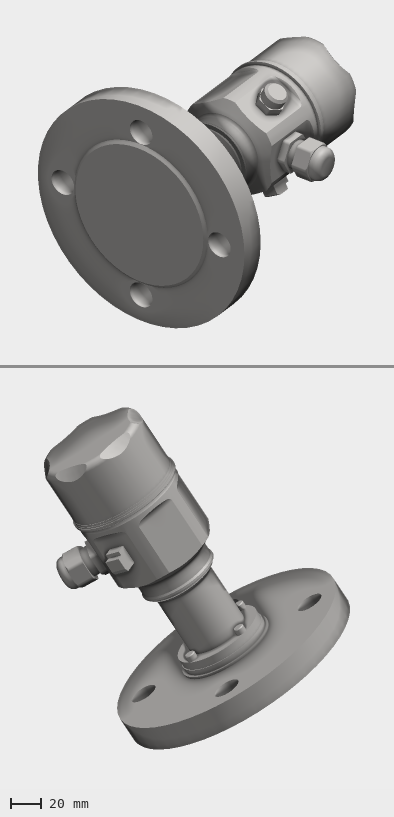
import cadquery as cq
import math

TOTAL_LENGTH = 191.8
AXIS_START = (0, 0, 0)
AXIS_END = (0, 1, 0)

FLANGE_RADIUS = 82.5
FLANGE_BACK = 19.8
FACE_HEIGHT = 2.0
FACE_RADIUS = 53.3
FACE_CHAMFER_WIDTH = 2.3
BOLT_HOLE_COUNT = 4
BOLT_CIRCLE_RADIUS = 62.5
BOLT_HOLE_RADIUS = 9.0

COLLAR_STEPS = [(32.2, 21.5), (30.3, 25.5), (29.7, 31.5)]
COLLAR_END = COLLAR_STEPS[-1][1]
SCREW_COUNT = 4
SCREW_START_ANGLE = 45.0
SCREW_CIRCLE_RADIUS = 25.9
SCREW_HEAD_RADIUS = 3.6
SCREW_HEAD_HEIGHT = 4.5
SCREW_HEAD_CHAMFER = 0.5

NECK_RADIUS = 20.7
NECK_END = 73.5
FLARE_FILLET = 1.7
FLARE_START_RADIUS = 21.9
FLARE_RADIUS = 24.5
FLARE_END = 77.5
RING_GROOVE_RADIUS = 23.5
RING_GROOVE_END = 79.8

SPIGOT_LIP_RADIUS = 26.7
SPIGOT_LIP_END = 81.3
SPIGOT_RADIUS = 25.9
SPIGOT_START = 82.7
SPIGOT_END = 90.3
CONE_START_RADIUS = 27.8
CONE_START = 92.8
HOUSING_RADIUS = 36.8
CONE_END = 98.5
FLAT_COUNT = 6
FLAT_DISTANCE = 34.0
FLAT_END = 136.0
RUNOUT_ARC_DISTANCE = 34.9
RUNOUT_ARC_END = 139.2
RUNOUT_END = 141.0
SHOULDER_START = 143.6
SHOULDER_RADIUS = 36.2
SHOULDER_END = 145.5

CAP_GROOVE_RADIUS = 35.7
RIM_START = 146.7
RIM_RADIUS = 38.2
RIM_END = 148.5
LOWER_BEAD_RADIUS = 37.5
LOWER_BEAD_END = 149.5
UPPER_BEAD_RADIUS = 37.2
UPPER_BEAD_END = 151.1
CAP_RADIUS = 36.8
CAP_FILLET = 4.6
GRIP_COUNT = 6
GRIP_TURN = 4.8
GRIP_START = 184.9
GRIP_DEPTH = 7.3
GRIP_HOLLOW_RADIUS = 34.5

PORT_Y = 118.0
PORT_TURN = 60.0
FITTING_ROOT = 28.8

GLAND_NUT_WIDTH = 24.0
GLAND_NUT_END = 39.5
GLAND_NECK_RADIUS = 10.0
GLAND_CAP_START = 45.3
GLAND_CAP_END = 57.2
GLAND_DOME_RADIUS = 11.5
GLAND_DOME_END = 64.2
GLAND_DOME_FILLET = 5.0
GLAND_EDGE_FILLET = 2.5
GLAND_CAP_OUTER_RADIUS = 13.6
GLAND_CAP_CHAMFER = 1.2

VENT_NUT_WIDTH = 16.9
VENT_NUT_END = 40.3
VENT_NUT_TURN = 30.0
VENT_EDGE_FILLET = 1.3
VENT_CAP_RADIUS = 8.2
VENT_CAP_END = 48.5
VENT_CAP_CHAMFER = 1.7

LUG_HALF_WIDTH = 5.8
LUG_START_Y = 114.9
LUG_END_Y = 125.8
LUG_TOP = 44.5
LUG_CHAMFER_LENGTH = 2.7
LUG_CHAMFER_HEIGHT = 1.3
LUG_STEP_END_Y = 128.9
LUG_STEP_TOP = 40.5


def turned(shape, degrees):
    """Rotate a shape about the main axis."""
    return shape.rotate(AXIS_START, AXIS_END, degrees)


def fitting_cylinder(radius, start, end):
    """Cylinder along +X at the port position, between two distances from the main axis."""
    plane = cq.Workplane("YZ", origin=(start, PORT_Y, 0))
    return plane.circle(radius).extrude(end - start)


def fitting_hexagon(width, edge_fillet, start, end):
    """Hexagon along +X with rounded edges; width is measured across the flats."""
    plane = cq.Workplane("YZ", origin=(start, PORT_Y, 0))
    corner_diameter = width / math.cos(math.radians(30))
    return plane.polygon(6, corner_diameter).extrude(end - start).edges("|X").fillet(edge_fillet)


def main_body():
    """Flange, collar, neck, housing and cap as one revolved profile."""
    profile = (
        cq.Workplane("XY")
        .moveTo(0, 0)
        .lineTo(FACE_RADIUS - FACE_CHAMFER_WIDTH, 0)
        .lineTo(FACE_RADIUS, FACE_HEIGHT)
        .lineTo(FLANGE_RADIUS, FACE_HEIGHT)
        .lineTo(FLANGE_RADIUS, FLANGE_BACK)
    )
    step_start = FLANGE_BACK
    for radius, step_end in COLLAR_STEPS:
        profile = profile.lineTo(radius, step_start).lineTo(radius, step_end)
        step_start = step_end
    profile = (
        profile.lineTo(NECK_RADIUS, COLLAR_END)
        .lineTo(NECK_RADIUS, NECK_END)
        .tangentArcPoint((FLARE_START_RADIUS, NECK_END + FLARE_FILLET), relative=False)
        .lineTo(FLARE_RADIUS, FLARE_END)
        .lineTo(RING_GROOVE_RADIUS, FLARE_END)
        .lineTo(RING_GROOVE_RADIUS, RING_GROOVE_END)
        .lineTo(SPIGOT_LIP_RADIUS, RING_GROOVE_END)
        .lineTo(SPIGOT_LIP_RADIUS, SPIGOT_LIP_END)
        .lineTo(SPIGOT_RADIUS, SPIGOT_START)
        .lineTo(SPIGOT_RADIUS, SPIGOT_END)
        .tangentArcPoint((CONE_START_RADIUS, CONE_START), relative=False)
        .lineTo(HOUSING_RADIUS, CONE_END)
        .lineTo(HOUSING_RADIUS, SHOULDER_START)
        .lineTo(SHOULDER_RADIUS, SHOULDER_END)
        .lineTo(CAP_GROOVE_RADIUS, SHOULDER_END)
        .lineTo(CAP_GROOVE_RADIUS, RIM_START)
        .lineTo(RIM_RADIUS, RIM_START)
        .lineTo(RIM_RADIUS, RIM_END)
        .lineTo(LOWER_BEAD_RADIUS, RIM_END)
        .lineTo(LOWER_BEAD_RADIUS, LOWER_BEAD_END)
        .lineTo(UPPER_BEAD_RADIUS, LOWER_BEAD_END)
        .lineTo(UPPER_BEAD_RADIUS, UPPER_BEAD_END)
        .lineTo(CAP_RADIUS, UPPER_BEAD_END)
        .lineTo(CAP_RADIUS, TOTAL_LENGTH - CAP_FILLET)
        .tangentArcPoint((CAP_RADIUS - CAP_FILLET, TOTAL_LENGTH), relative=False)
        .lineTo(0, TOTAL_LENGTH)
        .close()
    )
    return profile.revolve(360, AXIS_START, AXIS_END)


def bolt_holes():
    """Through holes of the process flange."""
    plane = cq.Workplane("XZ")
    circle = plane.polarArray(BOLT_CIRCLE_RADIUS, 0, 360, BOLT_HOLE_COUNT)
    return circle.circle(BOLT_HOLE_RADIUS).extrude(-FLANGE_BACK)


def screw_heads():
    """Round screw heads standing on the collar."""
    plane = cq.Workplane("XZ", origin=(0, COLLAR_END, 0))
    circle = plane.polarArray(SCREW_CIRCLE_RADIUS, SCREW_START_ANGLE, 360, SCREW_COUNT)
    heads = circle.circle(SCREW_HEAD_RADIUS).extrude(-SCREW_HEAD_HEIGHT)
    return heads.faces(">Y").edges().chamfer(SCREW_HEAD_CHAMFER)


def housing_flat_cutter():
    """Removes one flat on the +X side of the housing, with a curved run-out toward the cap."""
    outer_distance = HOUSING_RADIUS + 2
    outline = (
        cq.Workplane("XY")
        .moveTo(FLAT_DISTANCE, SPIGOT_END)
        .lineTo(FLAT_DISTANCE, FLAT_END)
        .tangentArcPoint((RUNOUT_ARC_DISTANCE, RUNOUT_ARC_END), relative=False)
        .lineTo(HOUSING_RADIUS, RUNOUT_END)
        .lineTo(outer_distance, RUNOUT_END)
        .lineTo(outer_distance, SPIGOT_END)
        .close()
    )
    return outline.extrude(HOUSING_RADIUS / 2, both=True)


def grip_cutter():
    """Removes one shallow finger hollow, deepening toward the end of the cap, on the +X side."""
    hollow_axis = CAP_RADIUS + GRIP_HOLLOW_RADIUS
    outline = [
        (CAP_RADIUS, GRIP_START),
        (CAP_RADIUS - GRIP_DEPTH, TOTAL_LENGTH),
        (hollow_axis, TOTAL_LENGTH),
        (hollow_axis, GRIP_START),
    ]
    hollow = cq.Workplane("XY").polyline(outline).close()
    return hollow.revolve(360, (hollow_axis, 0, 0), (hollow_axis, 1, 0))


def cable_gland():
    """Cable gland along +X: fixed nut, neck, cap nut and domed end."""
    nut = fitting_hexagon(GLAND_NUT_WIDTH, GLAND_EDGE_FILLET, FITTING_ROOT, GLAND_NUT_END)
    neck = fitting_cylinder(GLAND_NECK_RADIUS, FITTING_ROOT, GLAND_CAP_START)
    cap_nut = fitting_hexagon(GLAND_NUT_WIDTH, GLAND_EDGE_FILLET, GLAND_CAP_START, GLAND_CAP_END)
    cap_limit = fitting_cylinder(GLAND_CAP_OUTER_RADIUS, GLAND_CAP_START, GLAND_CAP_END)
    cap_nut = cap_nut.intersect(cap_limit.faces(">X").edges().chamfer(GLAND_CAP_CHAMFER))
    dome = fitting_cylinder(GLAND_DOME_RADIUS, GLAND_CAP_START, GLAND_DOME_END)
    dome = dome.faces(">X").edges().fillet(GLAND_DOME_FILLET)
    return nut.union(neck).union(cap_nut).union(dome)


def vent_plug():
    """Vent plug along +X: hexagon foot with a round cap."""
    foot = fitting_hexagon(VENT_NUT_WIDTH, VENT_EDGE_FILLET, FITTING_ROOT, VENT_NUT_END)
    foot = foot.rotate((0, PORT_Y, 0), (1, PORT_Y, 0), VENT_NUT_TURN)
    cap = fitting_cylinder(VENT_CAP_RADIUS, FITTING_ROOT, VENT_CAP_END)
    cap = cap.faces(">X").edges().chamfer(VENT_CAP_CHAMFER)
    return foot.union(cap)


def ground_lug():
    """Earthing lug along +X: a block with one chamfered edge and a lower step beside it."""
    outline = [
        (FITTING_ROOT, LUG_START_Y),
        (LUG_TOP - LUG_CHAMFER_HEIGHT, LUG_START_Y),
        (LUG_TOP, LUG_START_Y + LUG_CHAMFER_LENGTH),
        (LUG_TOP, LUG_END_Y),
        (LUG_STEP_TOP, LUG_END_Y),
        (LUG_STEP_TOP, LUG_STEP_END_Y),
        (FITTING_ROOT, LUG_STEP_END_Y),
    ]
    return cq.Workplane("XY").polyline(outline).close().extrude(LUG_HALF_WIDTH, both=True)


result = main_body().cut(bolt_holes()).union(screw_heads())

for index in range(FLAT_COUNT):
    result = result.cut(turned(housing_flat_cutter(), index * 360 / FLAT_COUNT))

for index in range(GRIP_COUNT):
    result = result.cut(turned(grip_cutter(), GRIP_TURN + index * 360 / GRIP_COUNT))

result = (
    result.union(cable_gland())
    .union(turned(vent_plug(), -PORT_TURN))
    .union(turned(ground_lug(), PORT_TURN))
)